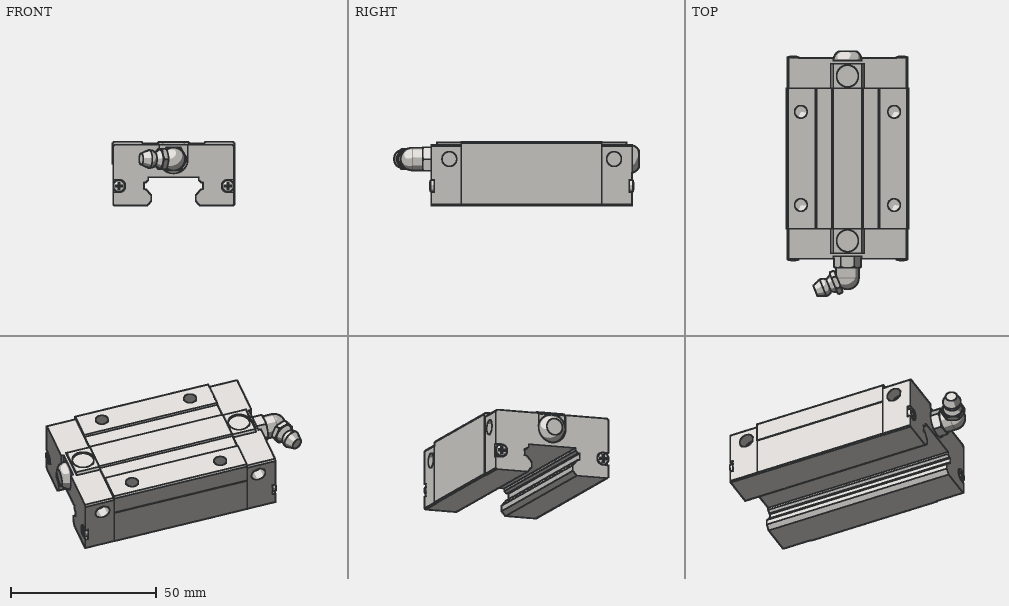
import cadquery as cq
import math


OVERALL_LENGTH = 84.2

BLOCK_LENGTH = 48.25
WIDTH = 42.0
HALF_WIDTH = WIDTH / 2
HEIGHT = 22.0
SIDE_STEP_Z = 14.4
SIDE_RELIEF = 0.25
BLOCK_CHAMFER = 0.6
FOOT_CHAMFER = 0.4
GROOVE_DEPTH = 0.5
RIB_HALF_WIDTH = 5.0
PAD_INNER_X = 11.0

CAP_HALF_WIDTH = 20.7
CAP_TOP = 21.0
CAP_RIB_TOP = 21.7
CAP_CHAMFER = 0.6
CAP_END_Y = 32.6
SEAL_END_Y = 34.5

HOLE_PITCH = 32.0
HOLE_DIAMETER = 4.3
HOLE_DEPTH = 8.0
DRILL_POINT_ANGLE = 118
PORT_Y = 28.3
PORT_Z = 16.0
SIDE_PORT_DIAMETER = 5.05
SIDE_PORT_DEPTH = 4.2
TOP_PORT_DIAMETER = 7.5
TOP_PORT_DEPTH = 0.7

NOTCH_RADIUS = 5.0
NOTCH_FLOOR_Y = 33.6

SCREW_X = 18.7
SCREW_Z = 6.7
SCREW_RADIUS = 2.0
SCREW_SLOT_RADIUS = 2.2
SCREW_SEAT_Y = 33.4
SCREW_RIM_Y = 34.7
SCREW_TOP_Y = 35.1
CROSS_LENGTH = 2.5
CROSS_WIDTH = 0.6
CROSS_DEPTH = 0.5

PLUG_RADIUS = 4.8
PLUG_FLAT_RADIUS = 2.9
PLUG_RIM_Y = 34.1
PLUG_MID_RADIUS = 4.1
PLUG_MID_Y = 35.9
PLUG_TOP_Y = 36.9

ELBOW_HEX_FLATS = 8.2
ELBOW_HEX_END_Y = 37.5
ELBOW_RADIUS = 3.95
NIPPLE_ANGLE = 22.1
NIPPLE_HEX_FLATS = 7.1
NIPPLE_HEX_START = 3.3
NIPPLE_HEX_END = 5.1
HEX_CHAMFER = 0.3
NIPPLE_COLLAR_RADIUS = 3.3
NIPPLE_NECK_RADIUS = 2.3
NIPPLE_NECK_AT = 7.0
NIPPLE_BULGE_RADIUS = 3.1
NIPPLE_BULGE_AT = 9.1
NIPPLE_TIP_RADIUS = 1.9
NIPPLE_LENGTH = 11.95

TILT = math.radians(NIPPLE_ANGLE)
NIPPLE_REACH = NIPPLE_BULGE_AT * math.sin(TILT) + NIPPLE_BULGE_RADIUS * math.cos(TILT)
ELBOW_CENTRE_Y = OVERALL_LENGTH - PLUG_TOP_Y - NIPPLE_REACH

EMBED = 0.4


def along_y(outline, y_start, y_end):
    """Extrude a closed XZ outline between two Y positions."""
    face = cq.Workplane("XZ", origin=(0, y_start, 0)).polyline(outline).close()
    return face.extrude(y_start - y_end)


def cylinder_y(x, z, radius, y_start, y_end):
    circle = cq.Workplane("XZ", origin=(x, y_start, z)).circle(radius)
    return circle.extrude(y_start - y_end)


def mirrored(points):
    """Points on the +X side followed by their mirror images in reverse order."""
    return points + [(-x, z) for x, z in reversed(points)]


def make_block():
    floor = HEIGHT - GROOVE_DEPTH
    pad_edge = HALF_WIDTH - BLOCK_CHAMFER
    relieved = HALF_WIDTH - SIDE_RELIEF
    outline = [
        (HALF_WIDTH - FOOT_CHAMFER, 0),
        (HALF_WIDTH, FOOT_CHAMFER),
    ]
    top = [
        (HALF_WIDTH, HEIGHT - BLOCK_CHAMFER),
        (pad_edge, HEIGHT),
        (PAD_INNER_X, HEIGHT),
        (PAD_INNER_X - GROOVE_DEPTH, floor),
        (RIB_HALF_WIDTH + GROOVE_DEPTH, floor),
        (RIB_HALF_WIDTH, HEIGHT),
    ]
    relief = [
        (-HALF_WIDTH, SIDE_STEP_Z),
        (-relieved, SIDE_STEP_Z),
        (-relieved, FOOT_CHAMFER),
        (FOOT_CHAMFER - relieved, 0),
    ]
    outline += mirrored(top) + relief
    return along_y(outline, -BLOCK_LENGTH / 2, BLOCK_LENGTH / 2)


def make_end_body():
    """Both end caps and seal plates, joined through the block as full-length bodies."""
    rib_foot = RIB_HALF_WIDTH + CAP_RIB_TOP - CAP_TOP
    side = [
        (CAP_HALF_WIDTH - FOOT_CHAMFER, 0),
        (CAP_HALF_WIDTH, FOOT_CHAMFER),
        (CAP_HALF_WIDTH, CAP_TOP - CAP_CHAMFER),
        (CAP_HALF_WIDTH - CAP_CHAMFER, CAP_TOP),
    ]
    rib = [(rib_foot, CAP_TOP), (RIB_HALF_WIDTH, CAP_RIB_TOP)]
    caps = along_y(mirrored(side + rib), -CAP_END_Y, CAP_END_Y)
    seals = along_y(mirrored(side), -SEAL_END_Y, SEAL_END_Y)
    return caps.union(seals)


def make_rail_opening():
    half = [
        (9.0, 0),
        (7.6, 1.6),
        (7.6, 3.5),
        (9.35, 5.55),
        (10.1, 5.7),
        (10.1, 7.9),
        (9.5, 7.9),
        (8.6, 8.75),
        (8.6, 9.7),
    ]
    return along_y(mirrored(half), -SEAL_END_Y, SEAL_END_Y)


def make_mounting_holes():
    radius = HOLE_DIAMETER / 2
    point_depth = radius / math.tan(math.radians(DRILL_POINT_ANGLE / 2))
    profile = [
        (0, HEIGHT),
        (radius, HEIGHT),
        (radius, HEIGHT - HOLE_DEPTH),
        (0, HEIGHT - HOLE_DEPTH - point_depth),
    ]
    drill = cq.Workplane("XZ").polyline(profile).close().revolve(360, (0, 0), (0, 1))
    holes = cq.Workplane()
    for x in (-HOLE_PITCH / 2, HOLE_PITCH / 2):
        for y in (-HOLE_PITCH / 2, HOLE_PITCH / 2):
            holes = holes.add(drill.translate((x, y, 0)))
    return holes.combine()


def make_end_cuts():
    """Ports, grease notch and screw slots of the +Y end."""
    top_port = (
        cq.Workplane("XY", origin=(0, PORT_Y, CAP_RIB_TOP))
        .circle(TOP_PORT_DIAMETER / 2)
        .extrude(-TOP_PORT_DEPTH)
    )
    notch = cylinder_y(0, PORT_Z, NOTCH_RADIUS, NOTCH_FLOOR_Y, SEAL_END_Y)
    notch_height = HEIGHT - PORT_Z
    notch_mouth = cq.Workplane("XY").box(
        2 * NOTCH_RADIUS, SEAL_END_Y - NOTCH_FLOOR_Y, notch_height, centered=(True, False, False)
    )
    cuts = top_port.union(notch).union(notch_mouth.translate((0, NOTCH_FLOOR_Y, PORT_Z)))
    for side in (-1, 1):
        side_port = (
            cq.Workplane("YZ", origin=(side * CAP_HALF_WIDTH, PORT_Y, PORT_Z))
            .circle(SIDE_PORT_DIAMETER / 2)
            .extrude(-side * SIDE_PORT_DEPTH)
        )
        slot_end = cylinder_y(side * SCREW_X, SCREW_Z, SCREW_SLOT_RADIUS, SCREW_SEAT_Y, SEAL_END_Y)
        slot_low = SCREW_Z - SCREW_SLOT_RADIUS
        slot_high = SCREW_Z + SCREW_SLOT_RADIUS
        slot_mouth = along_y(
            [
                (side * SCREW_X, slot_low),
                (side * HALF_WIDTH, slot_low),
                (side * HALF_WIDTH, slot_high),
                (side * SCREW_X, slot_high),
            ],
            SCREW_SEAT_Y,
            SEAL_END_Y,
        )
        cuts = cuts.union(side_port).union(slot_end).union(slot_mouth)
    return cuts


def make_screw():
    """Domed cross-recess screw head facing +Y, centred on the Y axis."""
    head = (
        cq.Workplane("XY")
        .moveTo(0, SCREW_SEAT_Y - EMBED)
        .lineTo(SCREW_RADIUS, SCREW_SEAT_Y - EMBED)
        .lineTo(SCREW_RADIUS, SCREW_RIM_Y)
        .spline([(0, SCREW_TOP_Y)], tangents=[(-1, 0.5), (-1, 0)], includeCurrent=True)
        .close()
        .revolve(360, (0, 0), (0, 1))
    )
    recess_y = SCREW_TOP_Y - CROSS_DEPTH / 2
    arm = cq.Workplane("XY").box(CROSS_LENGTH, CROSS_DEPTH, CROSS_WIDTH).translate((0, recess_y, 0))
    return head.cut(arm).cut(arm.rotate((0, 0, 0), (0, 1, 0), 90))


def make_plug():
    """Plug with a rounded shoulder and a flat top, turned about Y."""
    return (
        cq.Workplane("XY")
        .moveTo(0, NOTCH_FLOOR_Y - EMBED)
        .lineTo(PLUG_RADIUS, NOTCH_FLOOR_Y - EMBED)
        .lineTo(PLUG_RADIUS, PLUG_RIM_Y)
        .threePointArc((PLUG_MID_RADIUS, PLUG_MID_Y), (PLUG_FLAT_RADIUS, PLUG_TOP_Y))
        .lineTo(0, PLUG_TOP_Y)
        .close()
        .revolve(360, (0, 0), (0, 1))
        .translate((0, 0, PORT_Z))
    )


def make_hex(flats, y_start, y_end, turn_both_ends):
    """Hexagon along -Y with corners on X and its end corners turned down by a cone."""
    corner = flats / math.sqrt(3)
    prism = cq.Workplane("XZ", origin=(0, -y_start, 0)).polygon(6, 2 * corner).extrude(y_end - y_start)
    turned = cq.Workplane("XZ", origin=(0, -y_start, 0)).circle(corner).extrude(y_end - y_start)
    turned = turned.faces("<Y").chamfer(HEX_CHAMFER)
    if turn_both_ends:
        turned = turned.faces(">Y").chamfer(HEX_CHAMFER)
    return prism.intersect(turned)


def make_nipple():
    """Angled grease nipple: hexagon, straight elbow with a ball end, and a tilted tip."""
    elbow = make_hex(ELBOW_HEX_FLATS, NOTCH_FLOOR_Y - EMBED, ELBOW_HEX_END_Y, False)
    elbow = elbow.union(cylinder_y(0, 0, ELBOW_RADIUS, -NOTCH_FLOOR_Y, -ELBOW_CENTRE_Y))
    ball = cq.Workplane("XY").sphere(ELBOW_RADIUS).translate((0, -ELBOW_CENTRE_Y, 0))

    bulge_rim = (NIPPLE_BULGE_RADIUS, -NIPPLE_BULGE_AT)
    tip = (
        cq.Workplane("XY")
        .moveTo(0, -NIPPLE_HEX_START)
        .lineTo(NIPPLE_COLLAR_RADIUS, -NIPPLE_HEX_START)
        .lineTo(NIPPLE_COLLAR_RADIUS, -NIPPLE_HEX_END)
        .lineTo(NIPPLE_NECK_RADIUS, -NIPPLE_NECK_AT)
        .spline([bulge_rim], tangents=[(1, -0.7), (0, -1)], includeCurrent=True)
        .lineTo(NIPPLE_TIP_RADIUS, -NIPPLE_LENGTH)
        .lineTo(0, -NIPPLE_LENGTH)
        .close()
        .revolve(360, (0, 0), (0, 1))
    )
    tip = tip.union(make_hex(NIPPLE_HEX_FLATS, NIPPLE_HEX_START, NIPPLE_HEX_END, True))
    tip = tip.rotate((0, 0, 0), (0, 0, 1), NIPPLE_ANGLE - 90)
    tip = tip.translate((0, -ELBOW_CENTRE_Y, 0))
    return elbow.union(ball).union(tip).translate((0, 0, PORT_Z))


end_cuts = make_end_cuts()
screw = make_screw()

result = make_block().union(make_end_body())
result = result.cut(make_rail_opening()).cut(make_mounting_holes())
result = result.cut(end_cuts).cut(end_cuts.mirror("XZ"))
for screw_x in (-SCREW_X, SCREW_X):
    placed_screw = screw.translate((screw_x, 0, SCREW_Z))
    result = result.union(placed_screw).union(placed_screw.mirror("XZ"))
result = result.union(make_plug()).union(make_nipple())